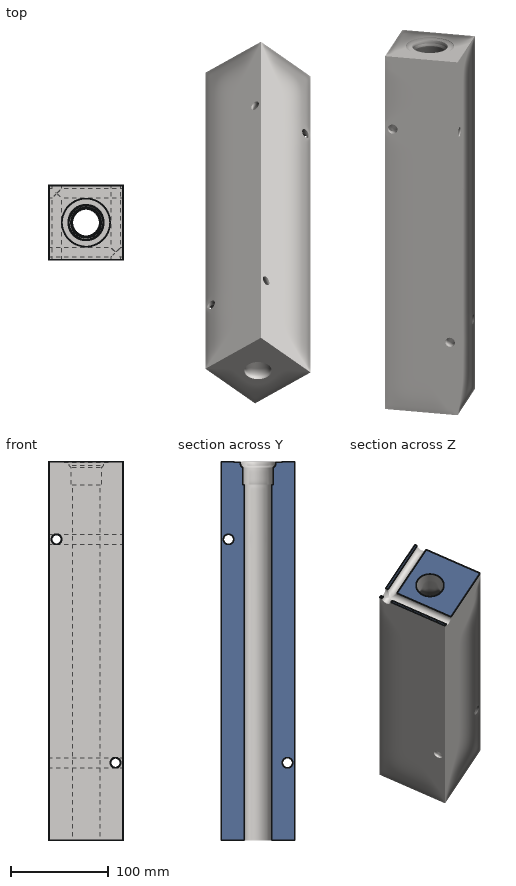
import cadquery as cq
import math

side = 76.2
length = 387.35

bore_diameter = 28.0
spotface_diameter = 49.2
spotface_depth = 0.5
seal_mouth_diameter = 36.4
seal_depth = 3.3
seal_half_angle = 12.0
port_diameter = 30.9
port_depth = 23.0

cross_hole_diameter = 10.0
cross_hole_edge_distance = 7.9375
cross_hole_end_distance = 79.375
cross_hole_offset = side / 2 - cross_hole_edge_distance


def make_bar():
    return cq.Workplane("XY").box(side, side, length, centered=(True, True, False))


def make_ported_bore():
    """Revolved profile of everything removed along the bar's axis."""
    bore_radius = bore_diameter / 2
    port_radius = port_diameter / 2
    spotface_radius = spotface_diameter / 2
    seal_mouth_radius = seal_mouth_diameter / 2
    seal_end_radius = seal_mouth_radius - seal_depth * math.tan(math.radians(seal_half_angle))

    spotface_floor = length - spotface_depth
    seal_end = spotface_floor - seal_depth
    lead_in_end = seal_end - (seal_end_radius - port_radius)
    port_floor = spotface_floor - port_depth
    return (
        cq.Workplane("XZ")
        .lineTo(bore_radius, 0)
        .lineTo(bore_radius, port_floor)
        .lineTo(port_radius, port_floor)
        .lineTo(port_radius, lead_in_end)
        .lineTo(seal_end_radius, seal_end)
        .lineTo(seal_mouth_radius, spotface_floor)
        .lineTo(spotface_radius, spotface_floor)
        .lineTo(spotface_radius, length)
        .lineTo(0, length)
        .close()
        .revolve(360, (0, 0, 0), (0, 1, 0))
    )


def make_cross_hole(plane, offset, height):
    """Hole right through the bar, normal to the given vertical plane."""
    return (
        cq.Workplane(plane)
        .center(offset, height)
        .circle(cross_hole_diameter / 2)
        .extrude(side, both=True)
    )


result = make_bar().cut(make_ported_bore())

upper_height = length - cross_hole_end_distance
lower_height = cross_hole_end_distance
result = result.cut(make_cross_hole("XZ", -cross_hole_offset, upper_height))
result = result.cut(make_cross_hole("XZ", cross_hole_offset, lower_height))
result = result.cut(make_cross_hole("YZ", cross_hole_offset, upper_height))
result = result.cut(make_cross_hole("YZ", -cross_hole_offset, lower_height))